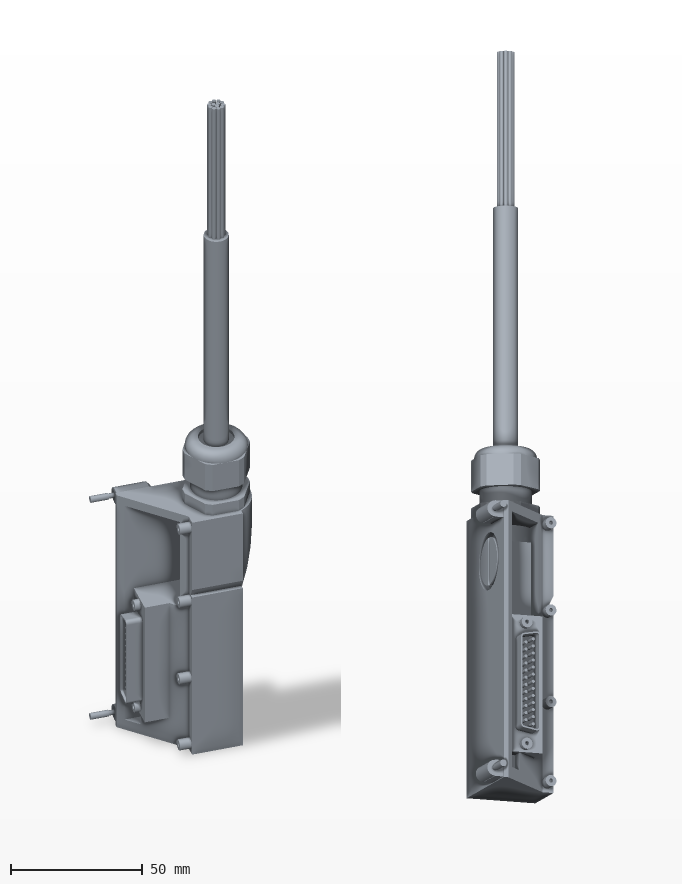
import cadquery as cq
import math


HOUSING_LEFT = -13.5
HOUSING_RIGHT = 14.0
HOUSING_BACK = 6.0
HOUSING_FRONT = -35.8
HOUSING_HEIGHT = 107.4
FRONT_STRIP_WIDTH = 1.7
SCREW_STRIP_WIDTH = 4.3
SCREW_STRIP_Y = -14.0

HOOD_RADIUS = 13.5
HOOD_DROP = 36.5
HOOD_BULGE = 2.0
HOOD_OVERLAP = 3.0

WINDOW_LEFT = -9.5
WINDOW_RIGHT = 7.2
WINDOW_TOP = 103.5
WINDOW_FLOOR_Y = 0.0
STUB_BOTTOM = 97.0
PAD_MARGIN = 1.2
PAD_HEIGHT = 11.5

FLANGE_WIDTH = 13.5
FLANGE_LENGTH = 53.0
FLANGE_BOTTOM = 11.5
FLANGE_TOP = FLANGE_BOTTOM + FLANGE_LENGTH
FLANGE_FRONT = -29.7
KEY_SLOT_FLOOR_Y = -23.0
KEY_SLOT_WIDTH = 5.0
KEY_SLOT_LENGTH = 7.0
CONNECTOR_X = -3.0
CONNECTOR_Z = FLANGE_BOTTOM + FLANGE_LENGTH / 2
SHELL_REACH = 6.3
SHELL_WIDTH = 7.8
SHELL_LENGTH = 39.0
SHELL_TAPER = 1.5
SHELL_CORNER_RADIUS = 1.5
SHELL_WALL = 0.5
CONTACT_DIAMETER = 1.2
CONTACT_LENGTH = 5.2
CONTACT_PITCH = 2.75
CONTACT_ROW_GAP = 3.0
LONG_ROW_COUNT = 13
POST_SPACING = 47.0
POST_DIAMETER = 4.3
POST_HOLE_DIAMETER = 1.6
POST_REACH = 2.3

PLUG_Y = -18.8
PLUG_Z = 87.0
PLUG_DIAMETER = 18.5
PLUG_GROOVE_DIAMETER = 22.2
PLUG_GROOVE_DEPTH = 3.0
PLUG_SLOT_WIDTH = 1.6

LUG_DIAMETER = 6.0
LUG_X = -17.0
LUG_BACK = -20.8
LUG_FRONT = -35.2
LUG_CHAMFER = 1.5
LUG_END_DISTANCE = 3.5
LUG_HEIGHTS = (LUG_END_DISTANCE, HOUSING_HEIGHT - LUG_END_DISTANCE)
WEB_HEIGHT = 6.3
PIN_DIAMETER = 2.5
PIN_FRONT = -44.7
PIN_NECK_DIAMETER = 2.0
PIN_NECK_LENGTH = 2.3

SCREW_X = 11.5
SCREW_DIAMETER = 4.3
SCREW_SOCKET_DIAMETER = 1.6
SCREW_SOCKET_DEPTH = 1.5
SCREW_REACH = 4.5
SCREW_HEIGHTS = (3.8, 34.3, 69.8, 103.5)
NOTCH_BOTTOM = 72.7
NOTCH_HEIGHT = 3.5
NOTCH_DEPTH = 1.7

HEX_ACROSS_FLATS = 24.0
HEX_ACROSS_CORNERS = 26.0
NECK_DIAMETER = 20.0
LOWER_HEX_TOP = 112.3
NUT_BOTTOM = 118.5
NUT_TOP = 130.7
DOME_TOP = 134.8
DOME_RADIUS = 3.8
GLAND_MOUTH_DIAMETER = 13.9
GLAND_MOUTH_DEPTH = 1.5

JACKET_DIAMETER = 9.5
JACKET_TOP = 228.3
CABLE_TOP = 288.5
WIRE_DIAMETER = 1.6
WIRE_RINGS = ((3, 0.95), (10, 2.65))


def box(x_range, y_range, z_range):
    """A box given by its limits along each axis."""
    sizes = [high - low for low, high in (x_range, y_range, z_range)]
    corner = (x_range[0], y_range[0], z_range[0])
    return cq.Workplane("XY").box(*sizes, centered=False).translate(corner)


def upright(diameter, bottom, top):
    """A cylinder on the Z axis."""
    return cq.Workplane("XY").workplane(offset=bottom).circle(diameter / 2).extrude(top - bottom)


def rod(x, z, diameter, back, front):
    """A cylinder along Y, from y = back forward to y = front."""
    return cq.Workplane("XZ", origin=(x, back, z)).circle(diameter / 2).extrude(back - front)


def make_case():
    outline = [
        (HOUSING_LEFT, HOUSING_BACK),
        (HOUSING_LEFT, HOUSING_FRONT),
        (HOUSING_LEFT + FRONT_STRIP_WIDTH, HOUSING_FRONT),
        (HOUSING_RIGHT - SCREW_STRIP_WIDTH, SCREW_STRIP_Y),
        (HOUSING_RIGHT, SCREW_STRIP_Y),
        (HOUSING_RIGHT, HOUSING_BACK),
    ]
    return cq.Workplane("XY").polyline(outline).close().extrude(HOUSING_HEIGHT)


def make_hood():
    """A half-round bulge on the back, its outline curving down into the back face."""
    bottom = HOUSING_HEIGHT - HOOD_DROP
    inner_y = HOUSING_BACK - HOOD_OVERLAP
    middle = ((HOOD_RADIUS + HOUSING_BACK) / 2 + HOOD_BULGE, HOUSING_HEIGHT - HOOD_DROP / 2)
    side = (
        cq.Workplane("YZ", origin=(-HOOD_RADIUS, 0, 0))
        .moveTo(inner_y, HOUSING_HEIGHT)
        .lineTo(HOOD_RADIUS, HOUSING_HEIGHT)
        .threePointArc(middle, (HOUSING_BACK, bottom))
        .lineTo(inner_y, bottom)
        .close()
        .extrude(2 * HOOD_RADIUS)
    )
    return side.intersect(upright(2 * HOOD_RADIUS, bottom, HOUSING_HEIGHT))


def make_window():
    """The opening in the slanted face, and the pad and the gland stub seen inside it."""
    opening = box(
        (WINDOW_LEFT, WINDOW_RIGHT), (HOUSING_FRONT, WINDOW_FLOOR_Y), (FLANGE_TOP, WINDOW_TOP)
    )
    pad = box(
        (WINDOW_LEFT + PAD_MARGIN, WINDOW_RIGHT - PAD_MARGIN),
        (WINDOW_FLOOR_Y - PAD_HEIGHT, WINDOW_FLOOR_Y),
        (FLANGE_TOP, STUB_BOTTOM),
    )
    stub = upright(NECK_DIAMETER, STUB_BOTTOM, HOUSING_HEIGHT)
    return opening.cut(pad).cut(stub)


def make_key_slot():
    return box(
        (WINDOW_LEFT, WINDOW_LEFT + KEY_SLOT_WIDTH),
        (HOUSING_FRONT, KEY_SLOT_FLOOR_Y),
        (FLANGE_BOTTOM - KEY_SLOT_LENGTH, FLANGE_BOTTOM),
    )


def make_flange_recess():
    """Clears the slanted face in front of the connector flange."""
    return box(
        (WINDOW_LEFT, WINDOW_LEFT + FLANGE_WIDTH),
        (HOUSING_FRONT, FLANGE_FRONT),
        (FLANGE_BOTTOM, FLANGE_TOP),
    )


def make_shell():
    """The open, thin-walled shell around the contacts, longer on its right side."""
    half_width = SHELL_WIDTH / 2
    half_length = SHELL_LENGTH / 2
    solid_shell = (
        cq.Workplane("XZ", origin=(CONNECTOR_X, FLANGE_FRONT, CONNECTOR_Z))
        .polyline([
            (half_width, half_length),
            (half_width, -half_length),
            (-half_width, SHELL_TAPER - half_length),
            (-half_width, half_length - SHELL_TAPER),
        ])
        .close()
        .extrude(SHELL_REACH)
        .edges("|Y")
        .fillet(SHELL_CORNER_RADIUS)
    )
    bore = solid_shell.faces("<Y").wires().toPending().offset2D(-SHELL_WALL).extrude(
        -SHELL_REACH, combine=False
    )
    return solid_shell.cut(bore)


def make_connector():
    flange = box(
        (WINDOW_LEFT, WINDOW_LEFT + FLANGE_WIDTH),
        (FLANGE_FRONT, SCREW_STRIP_Y),
        (FLANGE_BOTTOM, FLANGE_TOP),
    )
    connector = flange.union(make_shell())
    for side, count in ((1, LONG_ROW_COUNT), (-1, LONG_ROW_COUNT - 1)):
        x = CONNECTOR_X + side * CONTACT_ROW_GAP / 2
        for index in range(count):
            z = CONNECTOR_Z + (index - (count - 1) / 2) * CONTACT_PITCH
            connector = connector.union(
                rod(x, z, CONTACT_DIAMETER, FLANGE_FRONT, FLANGE_FRONT - CONTACT_LENGTH)
            )
    post_front = FLANGE_FRONT - POST_REACH
    for side in (1, -1):
        z = CONNECTOR_Z + side * POST_SPACING / 2
        post = rod(CONNECTOR_X, z, POST_DIAMETER, FLANGE_FRONT, post_front)
        hole = rod(CONNECTOR_X, z, POST_HOLE_DIAMETER, FLANGE_FRONT, post_front)
        connector = connector.union(post.cut(hole))
    return connector


def make_plug_cut():
    """The ring groove around the plug and the screwdriver slot across it."""
    face = cq.Workplane("YZ", origin=(HOUSING_LEFT, PLUG_Y, PLUG_Z))
    groove = (
        face.circle(PLUG_GROOVE_DIAMETER / 2).circle(PLUG_DIAMETER / 2).extrude(PLUG_GROOVE_DEPTH)
    )
    slot = face.rect(PLUG_SLOT_WIDTH, PLUG_DIAMETER).extrude(PLUG_GROOVE_DEPTH)
    return groove.union(slot)


def make_lug(z):
    """A round lug joined to the left side by a web, with a pin standing forward."""
    barrel = rod(LUG_X, z, LUG_DIAMETER, LUG_BACK, LUG_FRONT).faces(">Y").chamfer(LUG_CHAMFER)
    web = box(
        (LUG_X, HOUSING_LEFT),
        (LUG_FRONT, LUG_BACK - LUG_CHAMFER),
        (z - WEB_HEIGHT / 2, z + WEB_HEIGHT / 2),
    )
    neck_front = LUG_FRONT - PIN_NECK_LENGTH
    neck = rod(LUG_X, z, PIN_NECK_DIAMETER, LUG_FRONT, neck_front)
    pin = rod(LUG_X, z, PIN_DIAMETER, neck_front, PIN_FRONT)
    return barrel.union(web).union(neck).union(pin)


def make_cover_screw(z):
    front = SCREW_STRIP_Y - SCREW_REACH
    head = rod(SCREW_X, z, SCREW_DIAMETER, SCREW_STRIP_Y, front)
    return head.cut(rod(SCREW_X, z, SCREW_SOCKET_DIAMETER, front + SCREW_SOCKET_DEPTH, front))


def make_notch():
    """A three-cornered notch along the right side."""
    return (
        cq.Workplane("XZ", origin=(0, HOUSING_BACK, 0))
        .polyline([
            (HOUSING_RIGHT, NOTCH_BOTTOM),
            (HOUSING_RIGHT - NOTCH_DEPTH, NOTCH_BOTTOM),
            (HOUSING_RIGHT, NOTCH_BOTTOM + NOTCH_HEIGHT),
        ])
        .close()
        .extrude(HOUSING_BACK - SCREW_STRIP_Y)
    )


def make_hexagon(bottom, top):
    """A hexagonal prism with two flats facing along X and its corners flattened."""
    prism = None
    for across, turn in ((HEX_ACROSS_FLATS, 30), (HEX_ACROSS_CORNERS, 0)):
        corner_diameter = across / math.cos(math.pi / 6)
        layer = (
            cq.Workplane("XY", origin=(0, 0, bottom))
            .polygon(6, corner_diameter)
            .extrude(top - bottom)
            .rotate((0, 0, 0), (0, 0, 1), turn)
        )
        prism = layer if prism is None else prism.intersect(layer)
    return prism


def make_gland():
    dome = upright(HEX_ACROSS_FLATS, NUT_TOP, DOME_TOP)
    dome = dome.faces(">Z").edges().fillet(DOME_RADIUS)
    return (
        make_hexagon(HOUSING_HEIGHT, LOWER_HEX_TOP)
        .union(upright(NECK_DIAMETER, LOWER_HEX_TOP, NUT_BOTTOM))
        .union(make_hexagon(NUT_BOTTOM, NUT_TOP))
        .union(dome)
        .cut(upright(GLAND_MOUTH_DIAMETER, DOME_TOP - GLAND_MOUTH_DEPTH, DOME_TOP))
        .cut(upright(JACKET_DIAMETER, HOUSING_HEIGHT, DOME_TOP))
    )


def make_housing():
    housing = (
        make_case()
        .union(make_hood())
        .cut(make_window())
        .cut(make_key_slot())
        .cut(make_flange_recess())
        .union(make_connector())
        .cut(make_plug_cut())
        .cut(make_notch())
        .union(make_gland())
    )
    for z in LUG_HEIGHTS:
        housing = housing.union(make_lug(z))
    for z in SCREW_HEIGHTS:
        housing = housing.union(make_cover_screw(z))
    return housing


def make_cable():
    """The jacket, with the bare wires standing out of its end."""
    cable = upright(JACKET_DIAMETER, HOUSING_HEIGHT, JACKET_TOP)
    for count, radius in WIRE_RINGS:
        wires = (
            cq.Workplane("XY", origin=(0, 0, JACKET_TOP))
            .polarArray(radius, 0, 360, count)
            .circle(WIRE_DIAMETER / 2)
            .extrude(CABLE_TOP - JACKET_TOP)
        )
        cable = cable.union(wires)
    return cable


housing = make_housing()
cable = make_cable()
result = cq.Compound.makeCompound([*housing.solids().vals(), *cable.solids().vals()])